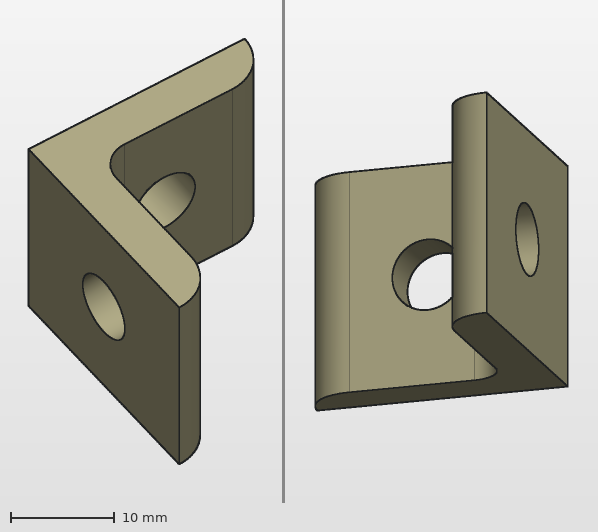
import cadquery as cq

leg_length = 25.4
height = 22.22
thickness = 4.78
tip_radius = thickness
inner_fillet_radius = 3.18
hole_diameter = 7.1


def make_angle():
    """L-shaped prism with its outer corner at the origin."""
    return (
        cq.Workplane("XY")
        .moveTo(0, 0)
        .lineTo(leg_length, 0)
        .radiusArc((leg_length - tip_radius, thickness), -tip_radius)
        .lineTo(thickness, thickness)
        .lineTo(thickness, leg_length - tip_radius)
        .radiusArc((0, leg_length), -tip_radius)
        .close()
        .extrude(height)
    )


def round_inner_corner(angle):
    """Fillet the vertical edge where the inner leg faces meet."""
    inner_corner = cq.NearestToPointSelector((thickness, thickness, height / 2))
    return angle.edges(inner_corner).fillet(inner_fillet_radius)


def make_leg_hole(plane_name, direction):
    """Cylinder through the leg on the given plane, centred on its outer face."""
    return (
        cq.Workplane(plane_name)
        .center(leg_length / 2, height / 2)
        .circle(hole_diameter / 2)
        .extrude(direction * thickness)
    )


result = round_inner_corner(make_angle())
for plane_name, direction in (("XZ", -1), ("YZ", 1)):
    result = result.cut(make_leg_hole(plane_name, direction))